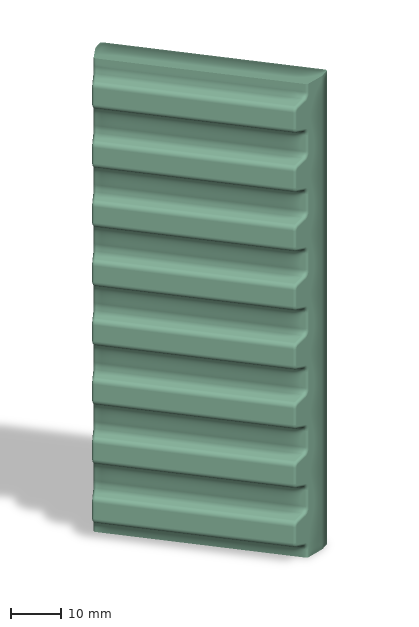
import cadquery as cq
import math

WIDTH = 47.7
THICKNESS = 13.0
LENGTH = 101.6

TOOTH_COUNT = 8
PITCH = LENGTH / TOOTH_COUNT
TOOTH_HEIGHT = 4.4
TIP_WIDTH = 5.3
FLANK_ANGLE = 13.5
TOOTH_RADIUS = 1.1

STRAIGHT_DEPTH = 3.3
SIDE_ANGLE = 14.5
BACK_RADIUS = 0.6
SIDE_BEND_RADIUS = 3.0
RIM_RADIUS = 0.6

BACK_Y = THICKNESS / 2
TIP_Y = -THICKNESS / 2
ROOT_Y = TIP_Y + TOOTH_HEIGHT


def make_toothed_plate():
    """Rack profile in the YZ plane, running across the full width."""
    half_tip = TIP_WIDTH / 2
    half_root = half_tip + TOOTH_HEIGHT * math.tan(math.radians(FLANK_ANGLE))
    outline = [(BACK_Y, -LENGTH / 2), (ROOT_Y, -LENGTH / 2)]
    for index in range(TOOTH_COUNT):
        center_z = -LENGTH / 2 + (index + 0.5) * PITCH
        outline += [
            (ROOT_Y, center_z - half_root),
            (TIP_Y, center_z - half_tip),
            (TIP_Y, center_z + half_tip),
            (ROOT_Y, center_z + half_root),
        ]
    outline += [(ROOT_Y, LENGTH / 2), (BACK_Y, LENGTH / 2)]
    plate = cq.Workplane("YZ").polyline(outline).close().extrude(WIDTH / 2, both=True)
    tooth_corners = plate.edges("|X").edges("not(<Z or >Z)")
    return tooth_corners.fillet(TOOTH_RADIUS)


def make_side_envelope():
    """Cross-section in the XY plane, running along the full length."""
    half_width = WIDTH / 2
    bend_y = BACK_Y - STRAIGHT_DEPTH
    half_front = half_width - (bend_y - TIP_Y) * math.tan(math.radians(SIDE_ANGLE))
    section = [
        (-half_width, BACK_Y),
        (-half_width, bend_y),
        (-half_front, TIP_Y),
        (half_front, TIP_Y),
        (half_width, bend_y),
        (half_width, BACK_Y),
    ]
    envelope = cq.Workplane("XY").polyline(section).close().extrude(LENGTH / 2, both=True)
    envelope = envelope.edges("|Z").edges(">Y").fillet(BACK_RADIUS)
    return envelope.edges("|Z").edges("<X or >X").edges("<Y").fillet(SIDE_BEND_RADIUS)


def round_toothed_rim(body):
    """Round the wavy edges where the toothed face meets both tapered sides."""
    margin = 0.1
    rim_zone = cq.selectors.BoxSelector(
        (-WIDTH, TIP_Y - margin, -LENGTH),
        (WIDTH, ROOT_Y + margin, LENGTH),
    )
    return body.edges(rim_zone).edges("not(|X)").fillet(RIM_RADIUS)


result = round_toothed_rim(make_toothed_plate().intersect(make_side_envelope()))